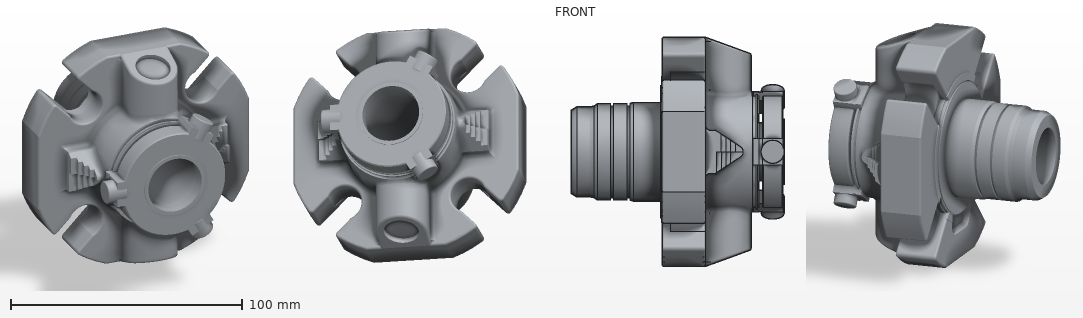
import cadquery as cq
import math

overall_length = 92.0
plate_front = 38.6
ledge_front = 40.6
ring_front = 38.9
flange_front = 39.2
flange_back = 57.95
hub_end = 78.3
gap_start = 81.0
gap_end = 82.5
collar_end = 91.5

bore_diameter = 25.0
sleeve_end_diameter = 28.2
gap_tube_diameter = 25.4
nose_diameter = 36.1
pilot_diameter = 39.0
groove_diameter = 39.7
land_diameter = 41.8
shank_diameter = 42.8

flange_size = 99.1
corner_diameter = 105.0
slot_width = 14.3
slot_end_diameter = 15.4
slot_center_radius = 38.6
slot_step_depth = 3.6
tip_radius = 1.5
flange_fillet = 1.0
plate_diameter = 57.3
plate_gap_diameter = 58.6
ledge_diameter = 59.5
ring_diameter = 65.2

notch_half_width = 9.1
notch_reach = 35.5
notch_corner_radius = 3.2
notch_depth = 2.0
notch_taper = 44

hub_base_diameter = 54.3
hub_end_diameter = 51.0
hub_base_fillet = 2.0
lug_blend = 2.2
lug_overlap = 1.5
backing_length = 95.1
backing_width = 29.7
backing_thickness = 3.0
lug_blend_reach = 49.2
tolerance = 0.03

port_lug_half_width = 11.2
port_lug_center = 66.6
port_lug_angle = 20
port_lug_fillet = 1.1
port_diameter = 15.4
port_center = 68.0
port_depth = 2.5

arrow_top = 37.2
arrow_half_width = 9.3
arrow_shoulder = 62.3
arrow_apex = 76.5
arrow_tip_radius = 2.7
step_count = 4
step_run = 2.03
step_drop = 1.85
step_start = 64.8
first_tread = 34.5
low_half_shift = 2.0
low_half_drop = 0.5

collar_diameter = 48.1
collar_chamfer = 0.5
snap_ring_diameter = 49.7
snap_ring_start = 79.7
snap_ring_end = 80.5
pad_count = 3
pad_start = 78.6
pad_width = 11.5
pad_inner_radius = 22.4
pad_outer_radius = 26.7
pad_groove_depth = 0.3
screw_diameter = 10.0
screw_top_radius = 30.9
screw_fillet = 0.5


def disc(diameter, start, end):
    """Cylinder about the X axis."""
    return cq.Workplane("YZ", origin=(start, 0, 0)).circle(diameter / 2).extrude(end - start)


def turned(points):
    """Body of revolution from (x, diameter) points, closed down to the X axis."""
    outline = [(points[0][0], 0)]
    outline += [(x, diameter / 2) for x, diameter in points]
    outline += [(points[-1][0], 0)]
    return cq.Workplane("XY").polyline(outline).close().revolve(360, (0, 0, 0), (1, 0, 0))


def about_x(body, angle):
    return body.rotate((0, 0, 0), (1, 0, 0), angle)


def make_sleeve():
    return turned([
        (0, nose_diameter),
        (2.5, pilot_diameter),
        (8.3, pilot_diameter),
        (9.9, groove_diameter),
        (11.4, land_diameter),
        (17.0, land_diameter),
        (17.0, groove_diameter),
        (18.2, groove_diameter),
        (18.2, land_diameter),
        (24.2, land_diameter),
        (24.2, groove_diameter),
        (25.4, groove_diameter),
        (25.4, land_diameter),
        (26.8, shank_diameter),
        (flange_front, shank_diameter),
    ])


def flange_blank(start, end):
    """Square plate with its corners turned down to a circle."""
    plate = cq.Workplane("YZ", origin=(start, 0, 0)).rect(flange_size, flange_size).extrude(end - start)
    return plate.intersect(disc(corner_diameter, start, end))


def straight_slots(start, end):
    """Two crossing diagonal slots that divide the flange into four arms."""
    bar = cq.Workplane("YZ", origin=(start, 0, 0)).rect(2 * corner_diameter, slot_width).extrude(end - start)
    return about_x(bar, 45).union(about_x(bar, -45))


def keyhole_slots(start, end):
    """Four diagonal slots, each opened from a slightly wider round hole at its inner end."""
    thickness = end - start
    length = corner_diameter / 2
    slot = (
        cq.Workplane("YZ", origin=(start, 0, 0))
        .center(slot_center_radius + length / 2, 0)
        .rect(length, slot_width)
        .extrude(thickness)
    )
    hole = disc(slot_end_diameter, start, end).translate((0, slot_center_radius, 0))
    keyhole = slot.union(hole)
    slots = about_x(keyhole, 45)
    for angle in (135, 225, 315):
        slots = slots.union(about_x(keyhole, angle))
    return slots


def slot_tips(body):
    """The eight edges where the slots meet the corner circle."""
    tips = []
    for edge in body.edges("|X").vals():
        middle = edge.Center()
        on_flat = max(abs(middle.y), abs(middle.z)) > flange_size / 2 - 0.01
        if math.hypot(middle.y, middle.z) > corner_diameter / 2 - 0.1 and not on_flat:
            tips.append(edge)
    return body.newObject(tips)


def make_notch():
    """Cutter with a flat floor, sloping sides and two round corners."""
    straight_reach = notch_reach - notch_corner_radius
    half_floor = notch_half_width - notch_corner_radius
    outline = (
        cq.Workplane("YZ", origin=(flange_front + notch_depth, 0, 0))
        .moveTo(-notch_half_width, 0)
        .lineTo(-notch_half_width, -straight_reach)
        .tangentArcPoint((-half_floor, -notch_reach), relative=False)
        .lineTo(half_floor, -notch_reach)
        .tangentArcPoint((notch_half_width, -straight_reach), relative=False)
        .lineTo(notch_half_width, 0)
        .close()
    )
    return outline.extrude(-2 * notch_depth, taper=-notch_taper)


def make_flange():
    floor = flange_front + slot_step_depth
    front = flange_blank(flange_front, floor).cut(straight_slots(flange_front, floor))
    front = slot_tips(front).fillet(tip_radius)
    front = front.faces("<X").edges().fillet(flange_fillet)
    back = flange_blank(floor, flange_back).cut(keyhole_slots(floor, flange_back))
    back = slot_tips(back).fillet(tip_radius)
    back = back.faces(">X").edges().fillet(flange_fillet)
    ring = disc(ring_diameter, ring_front, floor)
    ring = ring.cut(straight_slots(ring_front, floor))
    flange = front.union(back).union(ring).cut(make_notch())
    flange = flange.cut(disc(plate_gap_diameter, ring_front, ledge_front))
    flange = flange.union(disc(ledge_diameter, ledge_front, floor))
    return flange.union(disc(plate_diameter, plate_front, floor))


def make_hub():
    """Tapered hub with a concave fillet onto the back of the flange."""
    base_radius = hub_base_diameter / 2
    fillet_end = flange_back + hub_base_fillet
    arc_shift = hub_base_fillet * (1 - math.sqrt(0.5))
    return (
        cq.Workplane("XY")
        .moveTo(flange_front, 0)
        .lineTo(flange_front, base_radius + hub_base_fillet)
        .lineTo(flange_back, base_radius + hub_base_fillet)
        .threePointArc((flange_back + arc_shift, base_radius + arc_shift), (fillet_end, base_radius))
        .lineTo(hub_end, hub_end_diameter / 2)
        .lineTo(hub_end, 0)
        .close()
        .revolve(360, (0, 0, 0), (1, 0, 0))
    )


def make_port_lug():
    """Round-ended lug towards +Z whose top slopes down away from the flange."""
    slope = math.tan(math.radians(port_lug_angle))
    lug_start = flange_back - lug_overlap
    lug_end = port_lug_center + port_lug_half_width
    top = flange_size / 2
    end_top = top - (lug_end - flange_back) * slope
    plan = (
        cq.Workplane("XY")
        .moveTo(lug_start, -port_lug_half_width)
        .lineTo(port_lug_center, -port_lug_half_width)
        .threePointArc((lug_end, 0), (port_lug_center, port_lug_half_width))
        .lineTo(lug_start, port_lug_half_width)
        .close()
        .extrude(top)
    )
    side = (
        cq.Workplane("XZ")
        .polyline([(lug_start, 0), (lug_start, top), (flange_back, top), (lug_end, end_top), (lug_end, 0)])
        .close()
        .extrude(port_lug_half_width, both=True)
    )
    lug = plan.intersect(side)
    rim = cq.selectors.BoxSelector(
        (flange_back + 0.1, -flange_size, end_top - 0.1), (lug_end + 1, flange_size, top), boundingbox=False)
    return lug.edges(rim).edges("not |Z").fillet(port_lug_fillet)


def make_port():
    """Shallow round pocket square to the sloping top of a port lug."""
    angle = math.radians(port_lug_angle)
    port_top = flange_size / 2 - (port_center - flange_back) * math.tan(angle)
    plane = cq.Plane(
        origin=(port_center, 0, port_top),
        xDir=(0, 1, 0),
        normal=(math.sin(angle), 0, math.cos(angle)),
    )
    return cq.Workplane(plane).circle(port_diameter / 2).extrude(port_depth, both=True)


def stair(first_wall, top_tread, start_z, end_z):
    """Staircase that falls from the arrow's shoulder, towards -Y, between two heights in Z."""
    lug_start = flange_back - lug_overlap
    points = [(lug_start, 0), (lug_start, -arrow_top), (first_wall, -arrow_top)]
    for step in range(step_count):
        wall = first_wall + step * step_run
        tread = top_tread - step * step_drop
        points += [(wall, -tread), (wall + step_run, -tread)]
    points[-1] = (arrow_apex, points[-1][1])
    points.append((arrow_apex, 0))
    return cq.Workplane("XY", origin=(0, 0, start_z)).polyline(points).close().extrude(end_z - start_z)


def make_arrow_lug():
    """Arrow-shaped lug towards -Y whose two halves carry staggered stairs."""
    lug_start = flange_back - lug_overlap
    plan = (
        cq.Workplane("XZ")
        .polyline([
            (lug_start, -arrow_half_width),
            (arrow_shoulder, -arrow_half_width),
            (arrow_apex, 0),
            (arrow_shoulder, arrow_half_width),
            (lug_start, arrow_half_width),
        ])
        .close()
        .extrude(arrow_top)
        .edges("|Y and >X")
        .fillet(arrow_tip_radius)
    )
    high_half = stair(step_start, first_tread, 0, arrow_half_width)
    low_half = stair(step_start - low_half_shift, first_tread - low_half_drop, -arrow_half_width, 0)
    return plan.intersect(high_half.union(low_half))


def make_collar():
    """Snap ring, thin tube across the open gap, and clamp collar."""
    neck = disc(collar_diameter, hub_end, gap_start)
    snap_ring = disc(snap_ring_diameter, snap_ring_start, snap_ring_end)
    tube = disc(gap_tube_diameter, gap_start, gap_end)
    band = disc(collar_diameter, gap_end, collar_end).edges().chamfer(collar_chamfer)
    sleeve_end = disc(sleeve_end_diameter, gap_end, overall_length)
    return neck.union(snap_ring).union(tube).union(band).union(sleeve_end)


def make_pad():
    """Bridge block and screw head towards -Y."""
    length = collar_end - pad_start
    height = pad_outer_radius - pad_inner_radius
    block = cq.Workplane("XY").box(length, height, pad_width, centered=(False, False, True))
    block = block.translate((pad_start, -pad_outer_radius, 0))
    groove = cq.Workplane("XY").box(gap_end - gap_start, pad_groove_depth, pad_width, centered=(False, False, True))
    groove = groove.translate((gap_start, -pad_outer_radius, 0))
    screw_radius = screw_diameter / 2
    screw = (
        cq.Workplane("XZ", origin=(overall_length - screw_radius, -pad_inner_radius, 0))
        .circle(screw_radius)
        .extrude(screw_top_radius - pad_inner_radius)
        .faces("<Y")
        .edges()
        .fillet(screw_fillet)
    )
    return block.cut(groove).union(screw)


def blend_edges(body):
    """Concave edges where the lugs rise out of the hub, its base fillet and the flange back."""
    fillet_end = flange_back + hub_base_fillet
    taper = (hub_base_diameter - hub_end_diameter) / 2 / (hub_end - fillet_end)
    edges = []
    for edge in body.edges().vals():
        points = edge.positions([0, 0.25, 0.5, 0.75, 1])
        clear_of_ends = all(flange_back - tolerance < point.x < hub_end - tolerance for point in points)
        near_axis = all(math.hypot(point.y, point.z) < lug_blend_reach for point in points)
        on_hub = all(
            point.x < fillet_end + tolerance
            or abs(math.hypot(point.y, point.z) - hub_base_diameter / 2 + taper * (point.x - fillet_end)) < tolerance
            for point in points
        )
        beside_lug = all(min(abs(point.y), abs(point.z)) < port_lug_half_width + tolerance for point in points)
        if clear_of_ends and near_axis and on_hub and beside_lug and edge.geomType() != "CIRCLE":
            edges.append(edge)
    return body.newObject(edges)


def make_lugged_hub():
    """Hub with all four lugs blended in, on a cross of backing bars that lies inside the flange."""
    hub = make_hub()
    for angle in (0, 90):
        bar = cq.Workplane("YZ", origin=(flange_back, 0, 0)).rect(backing_length, backing_width)
        hub = hub.union(about_x(bar.extrude(-backing_thickness), angle))
    for turn in (0, 180):
        hub = hub.union(about_x(make_port_lug(), turn))
        hub = hub.union(about_x(make_arrow_lug(), turn))
    return blend_edges(hub).fillet(lug_blend)


body = make_flange().union(make_lugged_hub())
for turn in (0, 180):
    body = body.cut(about_x(make_port(), turn))
body = body.union(make_sleeve()).union(make_collar())
for pad in range(pad_count):
    body = body.union(about_x(make_pad(), pad * 360 / pad_count))
result = body.cut(disc(bore_diameter, 0, overall_length))